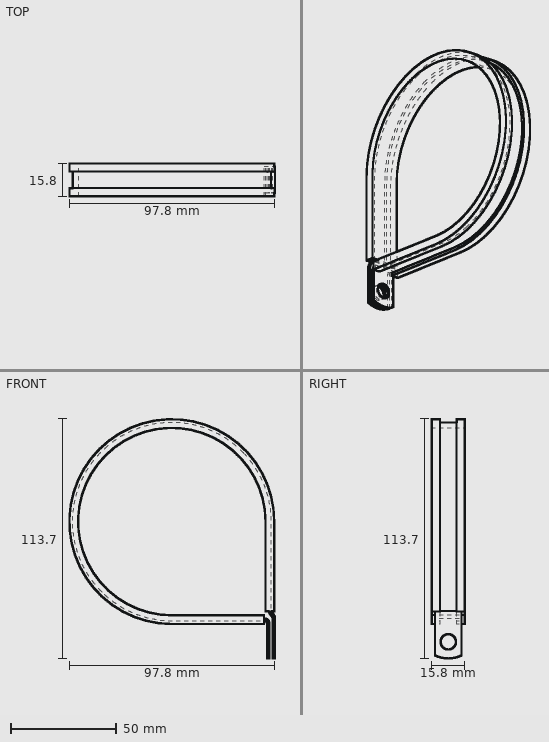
import cadquery as cq
import math


overall_length = 97.81
overall_height = 113.74

inner_radius = 44.45
outer_radius = 48.7
cushion_width = 15.75
upright_end_z = -42.6
level_end_x = 43.85

groove_width = cushion_width / 2
groove_depth = 1.5
groove_floor_radius = outer_radius - groove_depth

band_thickness = 1.2
band_width = 12.7
band_mid_radius = groove_floor_radius - band_thickness / 2
band_overlap = 1.0
inner_bend_radius = 1.2
outer_bend_radius = inner_bend_radius + band_thickness
outer_tab_right_x = overall_length - outer_radius
tab_pitch = 2.75
inner_tab_right_x = outer_tab_right_x - tab_pitch
tab_bottom_z = outer_radius - overall_height
joggle_angle = math.radians(33)

tab_end_sagitta = 1.45
bolt_hole_diameter = 7.2
bolt_hole_to_tab_end = 7.95
bolt_hole_z = tab_bottom_z + bolt_hole_to_tab_end


def extrude_centered(profile, width):
    """Extrude an XZ profile along Y, symmetric about Y = 0."""
    return profile.extrude(width / 2, both=True)


def loop_strip(inside, outside, width):
    """Three-quarter ring with tangent straight legs: one down on the right, one right at the bottom."""
    diagonal = math.sqrt(0.5)
    profile = (
        cq.Workplane("XZ")
        .moveTo(outside, upright_end_z)
        .lineTo(outside, 0)
        .threePointArc((-outside * diagonal, outside * diagonal), (0, -outside))
        .lineTo(level_end_x, -outside)
        .lineTo(level_end_x, -inside)
        .lineTo(0, -inside)
        .threePointArc((-inside * diagonal, inside * diagonal), (inside, 0))
        .lineTo(inside, upright_end_z)
        .close()
    )
    return extrude_centered(profile, width)


def make_cushion():
    """Rubber loop with the groove cut into its outer face."""
    cushion = loop_strip(inner_radius, outer_radius, cushion_width)
    groove = loop_strip(groove_floor_radius, outer_radius, groove_width)
    return cushion.cut(groove)


def make_inner_tab():
    """Band leaving the level leg and bending a quarter turn down."""
    right_x = inner_tab_right_x
    left_x = right_x - band_thickness
    top_z = -band_mid_radius + band_thickness / 2
    under_z = top_z - band_thickness
    start_x = level_end_x - band_overlap
    profile = (
        cq.Workplane("XZ")
        .moveTo(start_x, top_z)
        .lineTo(right_x - outer_bend_radius, top_z)
        .radiusArc((right_x, top_z - outer_bend_radius), outer_bend_radius)
        .lineTo(right_x, tab_bottom_z)
        .lineTo(left_x, tab_bottom_z)
        .lineTo(left_x, under_z - inner_bend_radius)
        .radiusArc((left_x - inner_bend_radius, under_z), -inner_bend_radius)
        .lineTo(start_x, under_z)
        .close()
    )
    return extrude_centered(profile, band_width)


def make_outer_tab():
    """Band leaving the upright leg, slanting outward and then bending straight down."""
    right_x = outer_tab_right_x
    left_x = right_x - band_thickness
    bend_center_x = left_x - inner_bend_radius
    start_right_x = band_mid_radius + band_thickness / 2
    start_left_x = start_right_x - band_thickness
    bend_mid_radius = inner_bend_radius + band_thickness / 2

    slant_run = bend_center_x + bend_mid_radius * math.cos(joggle_angle) - band_mid_radius
    slant_drop = slant_run / math.tan(joggle_angle)
    bend_center_z = upright_end_z - slant_drop - bend_mid_radius * math.sin(joggle_angle)

    mitre_shift = band_thickness / 2 * math.tan(joggle_angle / 2)

    def bend_point(radius, angle):
        return (
            bend_center_x + radius * math.cos(angle),
            bend_center_z + radius * math.sin(angle),
        )

    profile = (
        cq.Workplane("XZ")
        .moveTo(start_right_x, upright_end_z + band_overlap)
        .lineTo(start_right_x, upright_end_z + mitre_shift)
        .lineTo(*bend_point(outer_bend_radius, joggle_angle))
        .radiusArc(bend_point(outer_bend_radius, 0), outer_bend_radius)
        .lineTo(right_x, tab_bottom_z)
        .lineTo(left_x, tab_bottom_z)
        .lineTo(*bend_point(inner_bend_radius, 0))
        .radiusArc(bend_point(inner_bend_radius, joggle_angle), -inner_bend_radius)
        .lineTo(start_left_x, upright_end_z - mitre_shift)
        .lineTo(start_left_x, upright_end_z + band_overlap)
        .close()
    )
    return extrude_centered(profile, band_width)


def make_tab_outline():
    """Tab shape in the YZ plane: straight sides, arched lower end and the bolt hole."""
    half_width = band_width / 2
    reach_x = overall_length
    shoulder_z = tab_bottom_z + tab_end_sagitta
    outline = (
        cq.Workplane("YZ")
        .moveTo(-half_width, 0)
        .lineTo(-half_width, shoulder_z)
        .threePointArc((0, tab_bottom_z), (half_width, shoulder_z))
        .lineTo(half_width, 0)
        .close()
        .extrude(reach_x)
    )
    bolt_hole = (
        cq.Workplane("YZ")
        .center(0, bolt_hole_z)
        .circle(bolt_hole_diameter / 2)
        .extrude(reach_x)
    )
    return outline.cut(bolt_hole)


tabs = make_inner_tab().union(make_outer_tab()).intersect(make_tab_outline())
result = make_cushion().union(tabs)